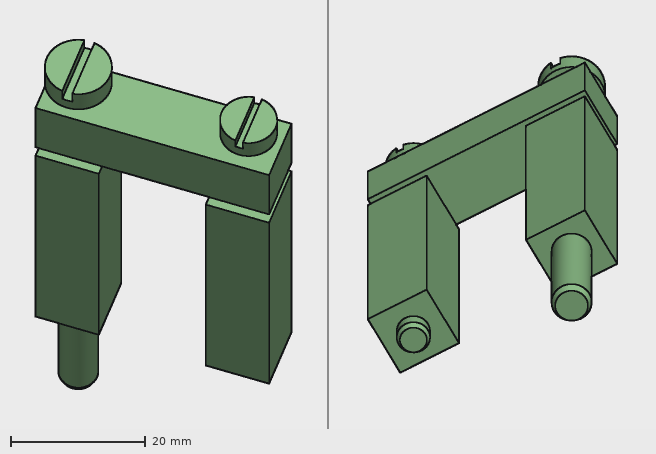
import cadquery as cq

overall_height = 79.0
bar_length = 37.0
section = 10.0
bar_top = 72.75
leg_top = 60.6
leg_length = 41.15
leg_bottom = leg_top - leg_length

large_screw_x = section / 2
small_screw_x = bar_length - section / 2
screw_y = section / 2


def block(x_min, z_min, length, height):
    """Box of the common depth, placed by its lower left corner."""
    return cq.Workplane("XY").box(length, section, height, centered=False).translate((x_min, 0, z_min))


def screw(x, top, bottom, head_diameter, head_height, shank_diameter,
          slot_width, slot_depth, tip_height, tip_inset):
    """Slotted cheese-head screw with a conical tip, revolved about its axis."""
    head_radius = head_diameter / 2
    shank_radius = shank_diameter / 2
    head_bottom = top - head_height
    body = (
        cq.Workplane("XZ")
        .moveTo(0, bottom)
        .lineTo(shank_radius - tip_inset, bottom)
        .lineTo(shank_radius, bottom + tip_height)
        .lineTo(shank_radius, head_bottom)
        .lineTo(head_radius, head_bottom)
        .lineTo(head_radius, top)
        .lineTo(0, top)
        .close()
        .revolve(360, (0, 0, 0), (0, 1, 0))
    )
    slot = (
        cq.Workplane("XY")
        .box(slot_width, 2 * head_diameter, slot_depth, centered=(True, True, False))
        .translate((0, 0, top - slot_depth))
    )
    return body.cut(slot).translate((x, screw_y, 0))


bar = block(0, bar_top - section, bar_length, section)
left_leg = block(0, leg_bottom, section, leg_length)
right_leg = block(bar_length - section, leg_bottom, section, leg_length)

large_screw = screw(
    large_screw_x, top=overall_height, bottom=0,
    head_diameter=section, head_height=3.9, shank_diameter=6.0,
    slot_width=1.6, slot_depth=2.0, tip_height=1.2, tip_inset=0.55,
)
small_screw = screw(
    small_screw_x, top=78.0, bottom=16.3,
    head_diameter=8.5, head_height=3.3, shank_diameter=5.0,
    slot_width=1.2, slot_depth=1.5, tip_height=0.95, tip_inset=0.5,
)

result = bar.union(left_leg).union(right_leg).union(large_screw).union(small_screw)